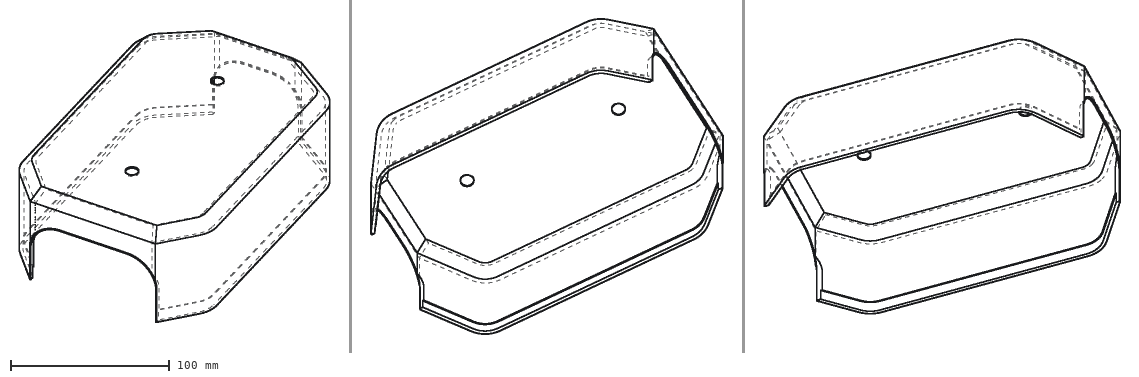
import cadquery as cq
import math

length = 211.5
width = 140.5
height = 70.0
chamfer = 8.0

front_flat_width = 90.7
back_flat_width = 62.8
front_corner_reach = 78.5
back_corner_reach = 79.0
corner_radius = 19.5

end_wall = 0.8
side_wall = 3.0
ceiling = 1.0
seat_side_wall = 2.3
seat_height = 7.8

front_arch_width = 90.7
back_arch_width = 62.4
arch_height = 45.9
front_arch_radius = 21.1
back_arch_radius = 21.1
recess_margin = 0.8
recess_depth = 0.6
arch_reach = 31.7

hole_diameter = 8.5
front_hole_y = -55.5
back_hole_y = 53.7

clearance = 2.1


def inset_end(flat_width, corner_reach, side_inset, end_inset):
    """Half width of an end flat and Y reach of its side corner after moving the walls inward."""
    slope = math.atan2(length / 2 - corner_reach, (width - flat_width) / 2)
    half_flat = flat_width / 2 - side_inset / math.sin(slope) + end_inset / math.tan(slope)
    reach = corner_reach - side_inset * math.tan((math.pi / 2 - slope) / 2)
    return half_flat, reach


def tray(side_inset, end_inset, tall):
    """Prism on the plan outline moved inward, with the four side corners rounded."""
    half_width = width / 2 - side_inset
    half_length = length / 2 - end_inset
    front_half, front_reach = inset_end(front_flat_width, front_corner_reach, side_inset, end_inset)
    back_half, back_reach = inset_end(back_flat_width, back_corner_reach, side_inset, end_inset)
    outline = [
        (-front_half, -half_length),
        (front_half, -half_length),
        (half_width, -front_reach),
        (half_width, back_reach),
        (back_half, half_length),
        (-back_half, half_length),
        (-half_width, back_reach),
        (-half_width, -front_reach),
    ]
    prism = cq.Workplane("XY").polyline(outline).close().extrude(tall)
    side_corners = cq.selectors.BoxSelector(
        (-width, -front_corner_reach - clearance, 0), (width, back_corner_reach + clearance, tall)
    )
    return prism.edges("|Z").edges(side_corners).fillet(corner_radius - side_inset)


def arch_cut(end, arch_width, top, radius, depth):
    """Round-shouldered opening cut inward from the front (-1) or back (+1) end."""
    block = cq.Workplane("XY").box(arch_width, depth, top, centered=(True, True, False))
    block = block.edges("|Y and >Z").fillet(radius)
    return block.translate((0, end * (length - depth) / 2, 0))


def end_opening(end, arch_width, radius):
    """Arch through one end wall together with the shallow recess around it."""
    through = arch_cut(end, arch_width, arch_height, radius, arch_reach)
    recess = arch_cut(
        end,
        arch_width + 2 * recess_margin,
        arch_height + recess_margin,
        radius + recess_margin,
        recess_depth,
    )
    return through.union(recess)


body = tray(0, 0, height).faces(">Z").chamfer(chamfer)

cavity = tray(side_wall, end_wall, height - ceiling)
inner_chamfer = chamfer - (2 - math.sqrt(2)) * (end_wall + ceiling) / 2
cavity = cavity.faces(">Z").chamfer(inner_chamfer)
seat = tray(seat_side_wall, end_wall, seat_height)

holes = (
    cq.Workplane("XY")
    .pushPoints([(0, front_hole_y), (0, back_hole_y)])
    .circle(hole_diameter / 2)
    .extrude(height)
)

result = body.cut(cavity).cut(seat).cut(holes)
result = result.cut(end_opening(-1, front_arch_width, front_arch_radius))
result = result.cut(end_opening(1, back_arch_width, back_arch_radius))